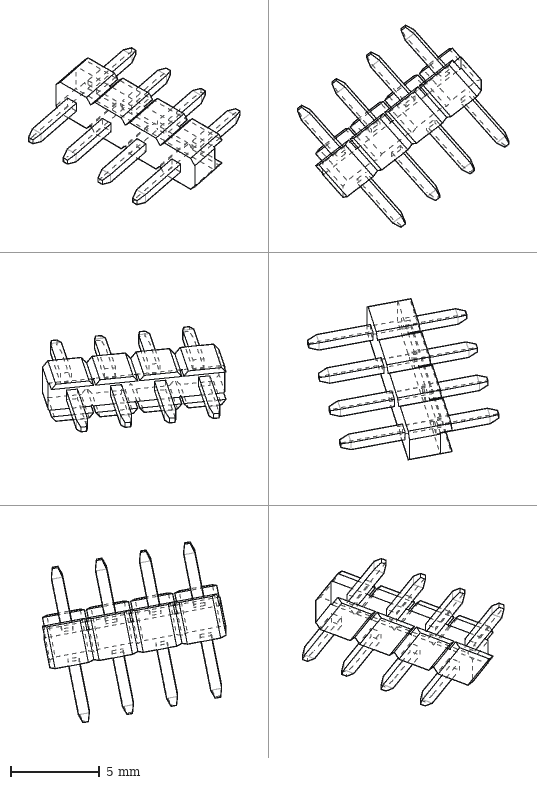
import cadquery as cq


PIN_COUNT = 4
PITCH = 2.54
ROW_LENGTH = PIN_COUNT * PITCH

BODY_DEPTH = 2.5
BODY_HEIGHT = 2.5
CORNER_WIDTH = 0.31
CORNER_HEIGHT = 0.4

CHANNEL_DEPTH = 0.7
LIP_THICKNESS = 0.33

PIN_SIDE = 0.64
TIP_SIDE = PIN_SIDE / 2
TIP_LENGTH = 0.55
FRONT_REACH = 3.7
REAR_REACH = 3.0
PIN_SHIFT = -0.09

BODY_FRONT_Y = -BODY_DEPTH / 2
BODY_REAR_Y = BODY_DEPTH / 2


def cell_center_x(index):
    """X of a cell centre, with the row centred on the origin."""
    return (index + 0.5) * PITCH - ROW_LENGTH / 2


def make_block(length, depth, height, center_x, front_y):
    """Box centred on X and Z that extends toward +Y from front_y."""
    block = cq.Workplane("XY").box(length, depth, height, centered=(True, False, True))
    return block.translate((center_x, front_y, 0))


def corner_notch(joint_x, side):
    """V notch across the body at a cell boundary; side is +1 for top, -1 for bottom."""
    edge_z = side * BODY_HEIGHT / 2
    root_z = edge_z - side * CORNER_HEIGHT
    outline = [
        (joint_x - CORNER_WIDTH, edge_z),
        (joint_x, root_z),
        (joint_x + CORNER_WIDTH, edge_z),
    ]
    return cq.Workplane("XZ").polyline(outline).close().extrude(BODY_DEPTH / 2, both=True)


def make_body():
    """Bar with bevelled cell corners and a channel along its rear face."""
    body = make_block(ROW_LENGTH, BODY_DEPTH, BODY_HEIGHT, 0, BODY_FRONT_Y)
    for joint in range(PIN_COUNT + 1):
        joint_x = joint * PITCH - ROW_LENGTH / 2
        for side in (-1, 1):
            body = body.cut(corner_notch(joint_x, side))

    channel_height = BODY_HEIGHT - 2 * LIP_THICKNESS
    channel_front_y = BODY_REAR_Y - CHANNEL_DEPTH
    channel = make_block(ROW_LENGTH, CHANNEL_DEPTH, channel_height, 0, channel_front_y)
    return body.cut(channel)


def make_tip(center_x, shank_end_y, direction):
    """Tapered pin end growing from shank_end_y; direction is +1 for +Y, -1 for -Y."""
    base = cq.Plane(
        origin=(center_x, shank_end_y, 0),
        xDir=(1, 0, 0),
        normal=(0, direction, 0),
    )
    tip = cq.Workplane(base).rect(PIN_SIDE, PIN_SIDE)
    return tip.workplane(offset=TIP_LENGTH).rect(TIP_SIDE, TIP_SIDE).loft(ruled=True)


def make_pin(center_x):
    """Straight square pin with a tapered tip at both ends."""
    shank_front_y = BODY_FRONT_Y - FRONT_REACH + TIP_LENGTH
    shank_rear_y = BODY_REAR_Y + REAR_REACH - TIP_LENGTH
    shank_length = shank_rear_y - shank_front_y
    shank = make_block(PIN_SIDE, shank_length, PIN_SIDE, center_x, shank_front_y)
    front_tip = make_tip(center_x, shank_front_y, -1)
    rear_tip = make_tip(center_x, shank_rear_y, 1)
    return shank.union(front_tip).union(rear_tip)


header = make_body()
for pin_index in range(PIN_COUNT):
    header = header.union(make_pin(cell_center_x(pin_index) + PIN_SHIFT))

result = header